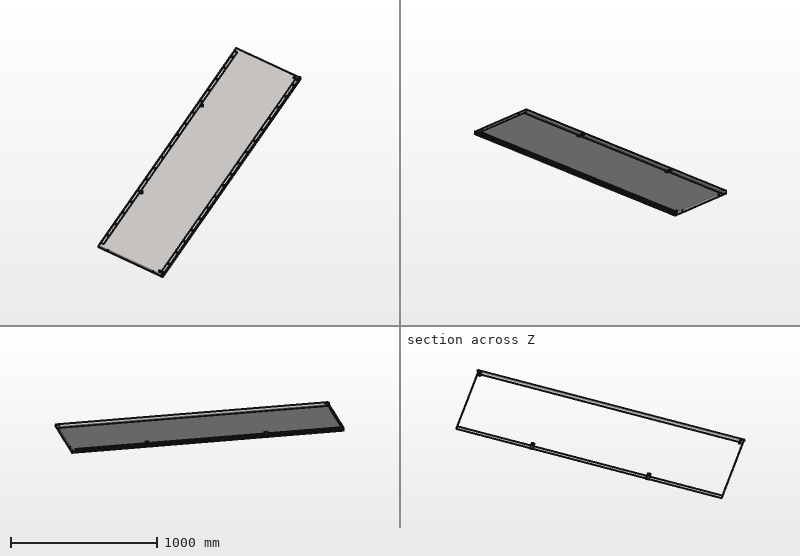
import cadquery as cq


overall_x = 511.0
overall_y = 1919.89
overall_z = 26.5

latch_reach = 4.0
pin_reach = 7.5
knob_rise = 5.0

sheet = 1.2
bend_radius = 3.0
panel_x = overall_x - latch_reach
panel_y = overall_y - 2 * pin_reach
panel_z = overall_z - knob_rise
return_width = 25.0
half_x = panel_x / 2
half_y = panel_y / 2
ceiling_z = panel_z - sheet

slot_width = 6.0
slot_height = 15.0
slot_bottom = 3.0
slot_inset = 75.0

rail_thickness = 1.5
rail_end_gap = 28.0
hole_count = 17
hole_pitch = 107.5
hole_shift = 15.0
hole_diameter = 8.0

lock_x = -half_x + 35.0
lock_centre_y = -3.0
lock_spacing = 834.0
lock_ys = [lock_centre_y + side * lock_spacing / 2 for side in (-1, 1)]
knob_diameter = 22.0
key_bore = 14.0
key_depth = 4.0
barrel_diameter = 18.0
barrel_bottom = 5.0
latch_width = 20.0
latch_thickness = 2.0

pin_diameter = 6.0
pin_length = 30.0
pin_x = half_x - 8.5
pin_z = panel_z - 8.0
stud_diameter = 11.0
stud_x = half_x - 39.0
stud_y = half_y - 21.0
arm_width = 8.0


def block(x0, x1, y0, y1, z0, z1):
    return cq.Workplane("XY").box(x1 - x0, y1 - y0, z1 - z0, centered=False).translate((x0, y0, z0))


def vertical_cylinder(x, y, z0, z1, diameter):
    return cq.Workplane("XY", origin=(x, y, z0)).circle(diameter / 2).extrude(z1 - z0)


def bent_box(wall, bottom, top, radius):
    """Panel-sized box set in by one wall, rounded at the top and along the long bottom edges."""
    box = block(-half_x + wall, half_x - wall, -half_y + wall, half_y - wall, bottom, top)
    box = box.faces(">Z").edges().fillet(radius)
    return box.faces("<Z").edges("|Y").fillet(radius)


def end_slots():
    """Tools for the upright slots that go through the two end flanges."""
    tools = []
    for end_y in (-half_y, half_y):
        for x in (-half_x + slot_inset, half_x - slot_inset):
            tools.append(
                block(
                    x - slot_width / 2,
                    x + slot_width / 2,
                    end_y - sheet,
                    end_y + sheet,
                    slot_bottom,
                    slot_bottom + slot_height,
                )
            )
    return tools


def make_rail(side):
    """Perforated flat strip against the skin; side is -1 for the lock side, 1 for the hinge side."""
    outer = half_x - bend_radius
    inner = half_x - return_width
    half_length = half_y - rail_end_gap
    rail = block(inner, outer, -half_length, half_length, ceiling_z - rail_thickness, ceiling_z)
    first_y = hole_shift - hole_pitch * (hole_count - 1) / 2
    holes = [(0, first_y + i * hole_pitch) for i in range(hole_count)]
    drill = (
        cq.Workplane("XY", origin=((inner + outer) / 2, 0, ceiling_z - rail_thickness))
        .pushPoints(holes)
        .circle(hole_diameter / 2)
        .extrude(rail_thickness)
    )
    rail = rail.cut(drill)
    return rail if side > 0 else rail.mirror("YZ")


def make_lock(y):
    """Knob on the outside face, with its barrel going down through the panel."""
    knob = vertical_cylinder(lock_x, y, panel_z, overall_z, knob_diameter)
    barrel = vertical_cylinder(lock_x, y, barrel_bottom, panel_z, barrel_diameter)
    bore = vertical_cylinder(lock_x, y, overall_z - key_depth, overall_z, key_bore)
    return knob.union(barrel).cut(bore)


def make_latch(y):
    """Flat bar under the barrel that comes out through the side flange."""
    return block(
        -half_x - latch_reach,
        lock_x + barrel_diameter / 2,
        y - latch_width / 2,
        y + latch_width / 2,
        barrel_bottom - latch_thickness,
        barrel_bottom,
    )


def make_hinge(side):
    """Pin through the end flange, tied by an arm to a stud; side is the sign of its Y."""
    bottom = pin_z - pin_diameter / 2
    top = pin_z + pin_diameter / 2
    pin_tip = half_y + pin_reach
    pin = cq.Workplane("XZ", origin=(pin_x, pin_tip, pin_z)).circle(pin_diameter / 2).extrude(pin_length)
    arm = block(stud_x, pin_x, stud_y - arm_width / 2, stud_y + arm_width / 2, bottom, top)
    stud = vertical_cylinder(stud_x, stud_y, bottom, ceiling_z, stud_diameter)
    hinge = pin.union(arm).union(stud)
    return hinge if side > 0 else hinge.mirror("XZ")


rails = [make_rail(side) for side in (-1, 1)]
hinges = [make_hinge(side) for side in (-1, 1)]
locks = [make_lock(y) for y in lock_ys]
latches = [make_latch(y) for y in lock_ys]


def make_panel():
    panel = bent_box(0, 0, panel_z, bend_radius)
    cavity = bent_box(sheet, sheet, ceiling_z, bend_radius - sheet)
    mouth_x = half_x - return_width
    mouth_y = half_y - sheet
    mouth = block(-mouth_x, mouth_x, -mouth_y, mouth_y, 0, panel_z / 2)
    panel = panel.cut(cavity).cut(mouth)
    for tool in end_slots() + hinges + locks + latches:
        panel = panel.cut(tool)
    return panel


panel = make_panel()
bodies = [panel, *rails, *hinges, *locks, *latches]
result = cq.Compound.makeCompound([body.solids().val() for body in bodies])